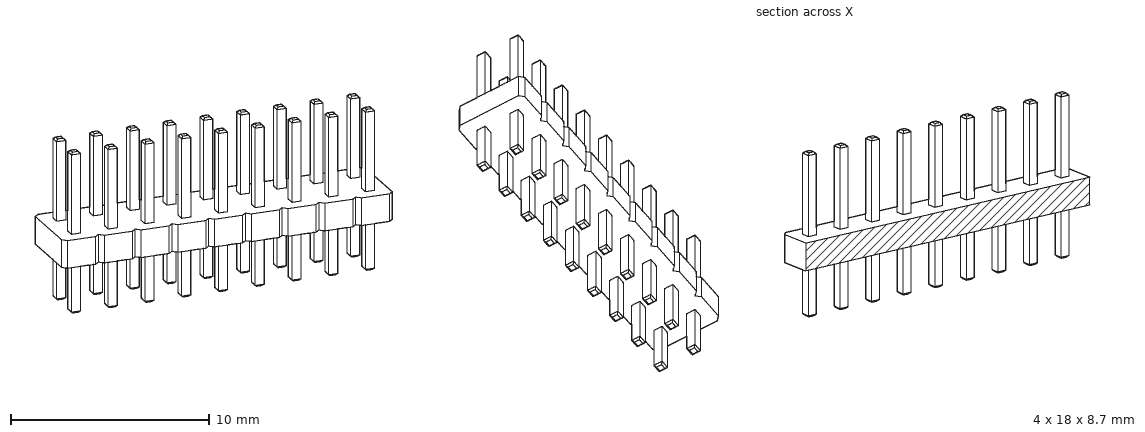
import cadquery as cq

row_count = 9
column_count = 2
housing_length = 18.0
pitch = housing_length / row_count
housing_width = column_count * pitch
housing_height = 1.5
corner_chamfer = 0.23

pin_width = 0.5
pin_above = 4.4
pin_below = 2.8
pin_length = pin_below + housing_height + pin_above
tip_chamfer = 0.1


def housing():
    """Cells joined end to end; the corner chamfers form V-notches between rows."""
    cell = (
        cq.Workplane("XY")
        .box(housing_width, pitch, housing_height, centered=(True, True, False))
        .edges("|Z")
        .chamfer(corner_chamfer)
    )
    body = cq.Workplane("XY")
    for row in range(row_count):
        row_y = (row - (row_count - 1) / 2) * pitch
        body = body.union(cell.translate((0, row_y, 0)))
    return body


def pins():
    """Grid of square pins running through the housing, chamfered at both tips."""
    pin = (
        cq.Workplane("XY")
        .box(pin_width, pin_width, pin_length, centered=(True, True, False))
        .faces("<Z or >Z")
        .chamfer(tip_chamfer)
        .val()
    )
    return (
        cq.Workplane("XY", origin=(0, 0, -pin_below))
        .rarray(pitch, pitch, column_count, row_count)
        .eachpoint(lambda place: pin.moved(place))
    )


result = housing().union(pins())